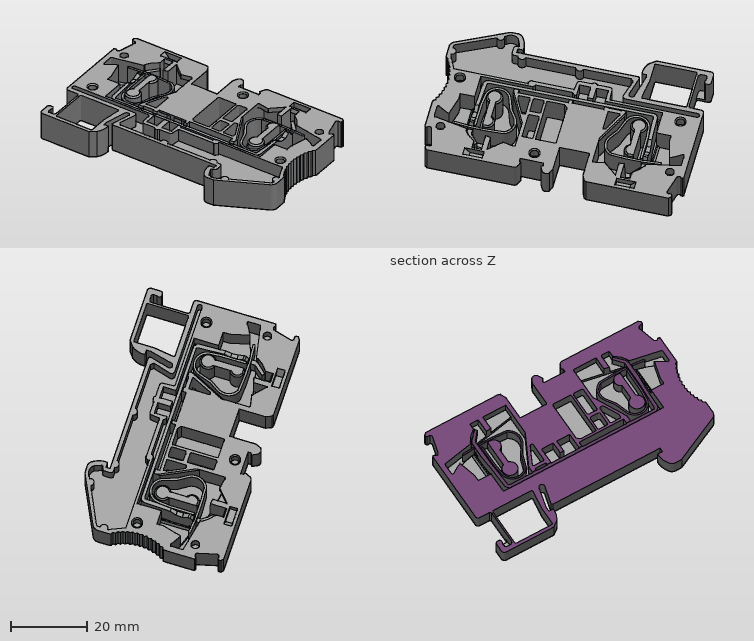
import cadquery as cq
import math


LENGTH = 70.05
WIDTH = 42.4
HEIGHT = 8.1
HALF = LENGTH / 2

FLOOR_Z = 0.9
POCKET_FLOOR_Z = 1.8
CHANNEL_FLOOR_Z = 4.4
HOOK_SLOT_FLOOR_Z = 1.8
GUSSET_ROOF_Z = 6.8

GRIP_LOW_Y = 11.3
GRIP_HIGH_Y = 27.2
GRIP_SAGITTA = 2.5
GRIP_TEETH = 13
TOOTH_DEPTH = 0.35

BUS_LOW_Y = 16.4
BUS_THICKNESS = 0.85
BUS_TOP_Y = BUS_LOW_Y + BUS_THICKNESS
BUS_TOP_Z = 7.65
BUS_DIP_Z = 6.65
HOOK_TOP_Z = 6.3
HOOK_BOTTOM_Z = 1.95
BUS_SLOT_X = 24.6
BUS_SLOT_LOW_Y = 15.9
CHANNEL_WALL_Y = 15.2
MIDDLE_RECESS_Y = 18.6
RECESS_HOLLOW = 3.5
RECESS_ROOF = 0.55
LEAD_IN_WIDTH = 0.35
LEAD_IN_DEPTH = 0.7

CHAMBER_WALL_X = 15.1
CHAMBER_END_X = 10.45
SLANT_LOW_Y = 19.2
SLANT_HIGH_Y = 28.65
SLANT_CHAMFER = 0.35
CHAMBER_CORNER = 0.35
ENTRY_LOW_Y = 22.6
ENTRY_STEP_Z = 2.5
HOOK_SLOT_END_Y = 38.4
LABEL_FLOOR_Z = 6.45

SPRING_THICKNESS = 0.6
SPRING_TOP_Z = 7.2
WINDOW_LOW_Z = 1.8
WINDOW_HIGH_Z = 6.45

POST_X = -19.55
POST_BAR_LEFT = -20.45
POST_BAR_WIDTH = 1.7
POST_LOW_Y = 21.4
POST_LOW_RADIUS = 2.2
POST_HIGH_Y = 29.4
POST_HIGH_RADIUS = 1.95
POST_CHAMFER = 0.4
POST_BAR_REACH = 1.55

HOLE_DEPTH = 2.8
HOLE_RADIUS = 1.1
COUNTERSINK = 0.35
PLAIN_HOLES = [(-31.05, 34.05), (31.05, 34.05)]
COUNTERSUNK_HOLES = [(-29.85, 17.6), (29.85, 17.6), (5.0, 36.65)]


def prism(points, low_z, high_z=HEIGHT, corner=0.0):
    """Upright prism over a polygon, with its vertical edges rounded by corner."""
    body = cq.Workplane("XY").workplane(offset=low_z).polyline(points).close().extrude(high_z - low_z)
    return body.edges("|Z").fillet(corner) if corner else body


def block(x_range, y_range, z_range, corner=0.0):
    """Upright box between three pairs of limits."""
    (x0, x1), (y0, y1), (z0, z1) = x_range, y_range, z_range
    return prism([(x0, y0), (x1, y0), (x1, y1), (x0, y1)], z0, z1, corner)


def disc(x, y, radius, low_z, high_z=HEIGHT):
    return cq.Workplane("XY").workplane(offset=low_z).center(x, y).circle(radius).extrude(high_z - low_z)


def along_x(profile, x0, x1):
    """Prism over a (Y, Z) profile, running from x0 to x1."""
    return cq.Workplane("YZ").workplane(offset=x0).polyline(profile).close().extrude(x1 - x0)


def along_y(profile, y0, y1):
    """Prism over an (X, Z) profile, running from y0 to y1."""
    return cq.Workplane("XZ").workplane(offset=-y1).polyline(profile).close().extrude(y1 - y0)


def both_sides(body):
    """The body and its mirror image about X = 0."""
    return [body, body.mirror("YZ")]


def grip_points():
    """Zigzag from the lower to the upper end of the grip, tips on the side of the arc centre."""
    half_chord = (GRIP_HIGH_Y - GRIP_LOW_Y) / 2
    radius = (half_chord**2 + GRIP_SAGITTA**2) / (2 * GRIP_SAGITTA)
    centre_x = HALF - GRIP_SAGITTA + radius
    centre_y = (GRIP_LOW_Y + GRIP_HIGH_Y) / 2
    half_angle = math.asin(half_chord / radius)
    points = []
    for step in range(1, 2 * GRIP_TEETH):
        angle = -half_angle + half_angle * step / GRIP_TEETH
        reach = radius - TOOTH_DEPTH * (step % 2)
        points.append((centre_x - reach * math.cos(angle), centre_y + reach * math.sin(angle)))
    return points


def housing_blank():
    outline = (
        cq.Workplane("XY")
        .moveTo(-HALF, WIDTH)
        .lineTo(-HALF, 13.4)
        .threePointArc((-34.8, 12.9), (-34.25, 12.6))
        .lineTo(-31.2, 12.6)
        .lineTo(-30.8, 12.2)
        .lineTo(-30.8, 4.8)
        .tangentArcPoint((-31.5, 4.1), relative=False)
        .lineTo(-33.85, 4.1)
        .threePointArc((-34.5, 3.9), (-34.7, 3.35))
        .lineTo(-34.7, 1.0)
        .threePointArc((-34.4, 0.3), (-33.7, 0))
        .lineTo(-19.05, 0)
        .lineTo(-17.4, 1.25)
        .threePointArc((-16.6, 2.6), (-16.25, 4.1))
        .lineTo(-16.25, 5.0)
        .lineTo(-17.6, 5.0)
        .lineTo(-17.6, 6.1)
        .lineTo(-16.1, 12.1)
        .threePointArc((-15.35, 12.9), (-14.6, 12.1))
        .lineTo(-16.05, 6.45)
        .lineTo(-15.7, 6.1)
        .lineTo(17.3, 6.1)
        .lineTo(17.3, 5.0)
        .lineTo(15.8, 5.0)
        .threePointArc((16.05, 2.8), (17.1, 0.8))
        .threePointArc((17.8, 0.3), (18.65, 0.15))
        .lineTo(20.45, 0.2)
        .lineTo(33.9, 6.7)
        .threePointArc((34.7, 7.35), (HALF, 8.3))
        .lineTo(HALF, GRIP_LOW_Y)
    )
    for point in grip_points():
        outline = outline.lineTo(*point)
    outline = (
        outline.lineTo(HALF, GRIP_HIGH_Y)
        .lineTo(HALF, WIDTH)
        .lineTo(9.25, WIDTH)
        .threePointArc((8.7, 42.25), (8.35, 41.8))
        .lineTo(7.7, 40.4)
        .lineTo(8.2, 40.0)
        .lineTo(8.2, 39.2)
        .lineTo(1.8, 39.2)
        .lineTo(1.8, 40.0)
        .lineTo(2.3, 40.4)
        .lineTo(1.6, 41.8)
        .threePointArc((0.55, WIDTH), (-0.35, 42.0))
        .lineTo(-1.0, 40.5)
        .lineTo(-1.0, 33.3)
        .lineTo(-9.1, 33.3)
        .lineTo(-9.1, 40.5)
        .lineTo(-9.8, 42.1)
        .lineTo(-10.4, WIDTH)
        .close()
    )
    return outline.extrude(HEIGHT)


def flank_notch():
    """Notch in the upper left flank, below a small hooked corner."""
    return (
        cq.Workplane("XY")
        .moveTo(-HALF, WIDTH)
        .lineTo(-32.65, WIDTH)
        .lineTo(-33.35, 41.8)
        .lineTo(-33.35, 41.3)
        .lineTo(-33.15, 40.9)
        .lineTo(-32.3, 40.9)
        .threePointArc((-31.95, 40.6), (-31.95, 40.1))
        .lineTo(-33.2, 35.3)
        .threePointArc((-33.8, 34.9), (-34.3, 35.25))
        .lineTo(-34.75, 35.25)
        .lineTo(-HALF, 35.0)
        .close()
        .extrude(HEIGHT)
    )


def foot_window():
    return prism([(-30.3, 1.05), (-18.85, 1.05), (-18.85, 6.6), (-18.0, 12.6), (-30.3, 12.6)], 0, corner=0.35)


def foot_slot():
    """Slot behind the foot tip, above a thin web."""
    return (
        cq.Workplane("XY")
        .workplane(offset=FLOOR_Z)
        .moveTo(-33.35, 4.2)
        .threePointArc((-32.9, 3.5), (-33.1, 2.95))
        .lineTo(-33.15, 1.95)
        .threePointArc((-32.9, 1.6), (-32.5, 1.5))
        .lineTo(-31.75, 1.5)
        .threePointArc((-31.1, 1.7), (-30.8, 2.3))
        .lineTo(-30.8, 5.25)
        .close()
        .extrude(HEIGHT)
    )


def channel():
    """Long channel that runs along the rail side into the fixed foot."""
    cut = (
        cq.Workplane("XY")
        .workplane(offset=CHANNEL_FLOOR_Z)
        .moveTo(-33.55, CHANNEL_WALL_Y)
        .lineTo(-10.45, CHANNEL_WALL_Y)
        .lineTo(-10.1, 14.9)
        .lineTo(-9.95, 12.05)
        .threePointArc((-9.75, 11.5), (-9.3, 11.3))
        .lineTo(-5.9, 11.3)
        .lineTo(-5.45, 10.85)
        .lineTo(-4.7, 10.85)
        .lineTo(-4.3, 11.3)
        .lineTo(-1.1, 11.3)
        .threePointArc((-0.7, 11.4), (-0.5, 11.9))
        .lineTo(-0.2, 14.15)
        .lineTo(10.9, 14.15)
        .lineTo(11.3, 13.95)
        .lineTo(12.05, 14.8)
        .lineTo(11.85, CHANNEL_WALL_Y)
        .lineTo(32.1, CHANNEL_WALL_Y)
        .lineTo(33.9, 11.1)
        .lineTo(33.9, 8.3)
        .threePointArc((33.85, 7.85), (33.55, 7.6))
        .lineTo(21.3, 1.75)
        .threePointArc((19.3, 1.05), (17.9, 1.9))
        .lineTo(17.1, 3.8)
        .lineTo(17.3, 4.2)
        .threePointArc((18.2, 4.5), (18.4, 5.05))
        .lineTo(18.4, 6.5)
        .threePointArc((18.2, 7.0), (17.7, 7.2))
        .lineTo(-13.95, 7.2)
        .lineTo(-14.65, 8.0)
        .lineTo(-13.25, 12.9)
        .threePointArc((-13.45, 13.65), (-14.1, 13.95))
        .lineTo(-33.55, 13.95)
        .threePointArc((-34.2, 14.6), (-33.55, CHANNEL_WALL_Y))
        .close()
        .extrude(HEIGHT)
    )
    for x, y, radius in [(0, 6.95, 1.1), (15.6, 6.95, 1.1), (33.9, 9.75, 1.05), (22.55, 2.4, 1.0)]:
        cut = cut.cut(disc(x, y, radius, 0, 2 * HEIGHT))
    return cut


def busbar_slot():
    """Slot for the busbar with the recesses that open into it."""
    cut = block((-BUS_SLOT_X, BUS_SLOT_X), (BUS_LOW_Y, BUS_TOP_Y), (FLOOR_Z, HEIGHT))
    cut = cut.union(block((-BUS_SLOT_X, BUS_SLOT_X), (BUS_SLOT_LOW_Y, BUS_LOW_Y), (CHANNEL_FLOOR_Z, HEIGHT)))
    for x0, x1, top_y in [(-13.8, -10.6, 17.9), (-9.3, -0.8, MIDDLE_RECESS_Y), (0.2, 13.8, 18.7)]:
        cut = cut.union(block((x0, x1), (BUS_TOP_Y, top_y), (FLOOR_Z, HEIGHT)))
    hollow_y = (MIDDLE_RECESS_Y, MIDDLE_RECESS_Y + RECESS_HOLLOW)
    for x0, x1 in [(-9.3, -5.8), (-4.6, -0.8)]:
        cut = cut.union(block((x0, x1), hollow_y, (FLOOR_Z, HEIGHT - RECESS_ROOF)))
    for x0, x1 in [(-9.05, -5.8), (-4.3, -1.25)]:
        cut = cut.union(block((x0, x1), (12.4, BUS_SLOT_LOW_Y), (CHANNEL_FLOOR_Z, HEIGHT)))
    step = [
        (-1.1, BUS_SLOT_LOW_Y),
        (-0.7, BUS_SLOT_LOW_Y),
        (-0.1, CHANNEL_WALL_Y),
        (9.95, CHANNEL_WALL_Y),
        (10.45, BUS_SLOT_LOW_Y),
    ]
    cut = cut.union(prism(step, CHANNEL_FLOOR_Z))
    slope = [(BUS_TOP_Y, HEIGHT), (BUS_TOP_Y + LEAD_IN_WIDTH, HEIGHT), (BUS_TOP_Y, HEIGHT - LEAD_IN_DEPTH)]
    return cut.union(along_x(slope, -CHAMBER_WALL_X, CHAMBER_WALL_X))


def middle_pockets():
    """Deep pockets between the two chambers; the largest has one cut-off corner."""
    cut_off_corner = prism([(0, 18.9), (1.1, 19.55), (0.2, 20.3), (0, 20.3)], 0)
    return [
        block((0.2, 5.8), (19.55, 32.2), (FLOOR_Z, HEIGHT), 0.3).cut(cut_off_corner),
        block((6.5, 9.45), (24.9, 32.2), (FLOOR_Z, HEIGHT), 0.4),
        block((6.5, 9.45), (19.55, 23.75), (FLOOR_Z, HEIGHT), 0.4),
        prism([(10.3, 19.55), (13.45, 19.55), (13.45, 20.6), (11.3, 25.0), (10.3, 25.0)], FLOOR_Z, corner=0.3),
        prism([(-10.6, 18.9), (-14.0, 18.9), (-11.3, 24.65), (-10.6, 24.65)], FLOOR_Z, corner=0.2),
    ]


def clamp_chamber():
    """Left chamber for a spring, with its wire entry."""
    chamber = (
        cq.Workplane("XY")
        .workplane(offset=FLOOR_Z)
        .moveTo(-33.4, 31.4)
        .lineTo(-CHAMBER_END_X, 35.9)
        .lineTo(-CHAMBER_END_X, SLANT_HIGH_Y)
        .lineTo(-CHAMBER_WALL_X, SLANT_LOW_Y)
        .lineTo(-CHAMBER_WALL_X, BUS_LOW_Y)
        .lineTo(-BUS_SLOT_X, BUS_LOW_Y)
        .lineTo(-BUS_SLOT_X, 31.2)
        .threePointArc((-29.35, 29.85), (-33.4, 27.45))
        .close()
        .extrude(HEIGHT - FLOOR_Z)
    )
    chamber = chamber.edges("|Z and (<X or >(1, 1, 0))").fillet(CHAMBER_CORNER)
    entry = [
        (-30.05, 30.3),
        (-28.5, 24.4),
        (-28.5, ENTRY_LOW_Y),
        (-BUS_SLOT_X, ENTRY_LOW_Y),
        (-BUS_SLOT_X, 31.5),
        (-26.6, 31.5),
    ]
    slope = [
        (-25.4, POCKET_FLOOR_Z),
        (-BUS_SLOT_X, POCKET_FLOOR_Z),
        (-BUS_SLOT_X, ENTRY_STEP_Z),
        (-24.95, ENTRY_STEP_Z),
    ]
    step = along_y(slope, ENTRY_LOW_Y, 30.8)
    return chamber.union(prism(entry, POCKET_FLOOR_Z).cut(step))


def hook_slot():
    """Slot above the left chamber for the bent end of the busbar, with a sloped end wall."""
    plan = [
        (-21.4, HOOK_SLOT_END_Y),
        (-18.65, HOOK_SLOT_END_Y),
        (-18.65, 33.6),
        (-24.2, 32.9),
        (-24.2, 33.7),
        (-23.1, 35.2),
        (-21.4, 36.65),
    ]
    slope = [(HOOK_SLOT_END_Y, HEIGHT), (38.8, HEIGHT), (HOOK_SLOT_END_Y, 7.1)]
    lean = [(-19.05, HOOK_SLOT_FLOOR_Z), (-18.65, HOOK_SLOT_FLOOR_Z), (-18.65, HEIGHT), (-18.8, HEIGHT)]
    slot = prism(plan, HOOK_SLOT_FLOOR_Z).cut(along_y(lean, 32.9, HOOK_SLOT_END_Y))
    return slot.union(along_x(slope, -21.4, -18.85))


def gusset_hollow():
    """Hollow beside the hook slot, under a roof with a triangular opening."""
    opening = prism([(-17.4, 38.45), (-17.4, 34.3), (-13.95, 34.3), (-13.95, 35.4)], HOOK_SLOT_FLOOR_Z)
    return opening.union(block((-17.4, -CHAMBER_END_X), (34.3, 38.45), (HOOK_SLOT_FLOOR_Z, GUSSET_ROOF_Z)))


def label_slot():
    """Rectangular slot whose outer end is a ramp."""
    ramp_side = [(-23.2, HEIGHT), (-17.95, HEIGHT), (-17.95, LABEL_FLOOR_Z), (-21.7, LABEL_FLOOR_Z)]
    return along_y(ramp_side, 39.4, 41.5)


def keyhole_post():
    """Post inside the left spring: a bar that joins two chamfered round ends."""
    low_end = disc(POST_X, POST_LOW_Y, POST_LOW_RADIUS, 0).faces(">Z").chamfer(POST_CHAMFER)
    high_end = disc(POST_X, POST_HIGH_Y, POST_HIGH_RADIUS, 0).faces(">Z").chamfer(POST_CHAMFER)
    left_of_bar = block(
        (POST_BAR_LEFT - POST_HIGH_RADIUS, POST_BAR_LEFT),
        (POST_HIGH_Y - POST_HIGH_RADIUS, POST_HIGH_Y + POST_HIGH_RADIUS),
        (0, HEIGHT),
    )
    bar = block(
        (POST_BAR_LEFT, POST_BAR_LEFT + POST_BAR_WIDTH),
        (POST_LOW_Y, POST_HIGH_Y + POST_BAR_REACH),
        (0, HEIGHT),
    )
    return low_end.union(high_end.cut(left_of_bar)).union(bar)


def round_holes():
    holes = []
    for x, y in PLAIN_HOLES:
        holes.append(disc(x, y, HOLE_RADIUS, HEIGHT - HOLE_DEPTH))
    for x, y in COUNTERSUNK_HOLES:
        mouth_base = cq.Vector(x, y, HEIGHT - COUNTERSINK)
        mouth = cq.Solid.makeCone(HOLE_RADIUS, HOLE_RADIUS + COUNTERSINK, COUNTERSINK, mouth_base)
        holes.append(disc(x, y, HOLE_RADIUS, HEIGHT - HOLE_DEPTH).union(cq.Workplane(mouth)))
    return holes


def make_housing():
    body = housing_blank()
    cuts = [foot_window(), foot_slot(), channel(), busbar_slot(), *middle_pockets(), *round_holes()]
    for feature in [flank_notch(), clamp_chamber(), hook_slot(), gusset_hollow(), label_slot()]:
        cuts += both_sides(feature)
    for cut in cuts:
        body = body.cut(cut)
    slant_x = (CHAMBER_WALL_X + CHAMBER_END_X) / 2
    slant_y = (SLANT_LOW_Y + SLANT_HIGH_Y) / 2
    for middle_x in (-slant_x, slant_x):
        slanted_edge = cq.selectors.NearestToPointSelector((middle_x, slant_y, HEIGHT))
        body = body.edges(slanted_edge).chamfer(SLANT_CHAMFER)
    for post in both_sides(keyhole_post()):
        body = body.union(post)
    return body


def busbar_leg():
    """Left leg: rises from the base strip, then bends inward into a hook."""
    leg = (
        cq.Workplane("XY")
        .workplane(offset=FLOOR_Z)
        .moveTo(0, BUS_LOW_Y)
        .lineTo(-22.55, BUS_LOW_Y)
        .threePointArc((-23.3, 16.95), (-23.6, 17.8))
        .lineTo(-23.8, 23.75)
        .lineTo(-24.2, 28.0)
        .lineTo(-24.1, 33.3)
        .lineTo(-23.55, 34.05)
        .lineTo(-21.2, 36.6)
        .lineTo(-20.75, 35.8)
        .lineTo(-22.9, 33.2)
        .lineTo(-22.9, 25.2)
        .lineTo(-22.5, 17.8)
        .threePointArc((-22.35, 17.4), (-21.9, BUS_TOP_Y))
        .lineTo(0, BUS_TOP_Y)
        .close()
        .extrude(BUS_TOP_Z - FLOOR_Z)
    )
    above_leg = [
        (24.8, BUS_TOP_Z),
        (26.5, BUS_DIP_Z),
        (28.2, BUS_DIP_Z),
        (29.85, 7.6),
        (30.4, 7.6),
        (31.1, HOOK_TOP_Z),
        (WIDTH, HOOK_TOP_Z),
        (WIDTH, HEIGHT),
        (24.8, HEIGHT),
    ]
    below_hook = [(30.1, 0), (WIDTH, 0), (WIDTH, HOOK_BOTTOM_Z), (30.1, HOOK_BOTTOM_Z)]
    return leg.cut(along_x(above_leg, -HALF, 0)).cut(along_x(below_hook, -HALF, 0))


def make_busbar():
    left, right = both_sides(busbar_leg())
    return left.union(right)


def clamp_spring():
    """Left spring: a loop of bent strip whose long arm has a window for the busbar hook."""
    centre_line = (
        cq.Workplane("XY")
        .workplane(offset=FLOOR_Z)
        .moveTo(-27.75, 31.4)
        .threePointArc((-20.75, 31.8), (-14.4, 31.5))
        .threePointArc((-12.8, 30.1), (-12.3, 28.0))
        .threePointArc((-12.5, 27.1), (-12.9, 26.2))
        .lineTo(-14.5, 23.75)
        .lineTo(-15.6, 20.4)
        .threePointArc((-18.8, 18.0), (-22.1, 20.7))
        .lineTo(-22.4, 23.8)
        .lineTo(-22.5, 30.75)
        .wire()
    )
    strip = centre_line.offset2D(SPRING_THICKNESS / 2).extrude(SPRING_TOP_Z - FLOOR_Z)
    window = block((-24.3, -22.8), (31.25, 32.4), (WINDOW_LOW_Z, WINDOW_HIGH_Z))
    return strip.cut(window)


housing = make_housing()
busbar = make_busbar()
springs = both_sides(clamp_spring())

result = cq.Compound.makeCompound([housing.val(), busbar.val(), *[spring.val() for spring in springs]])